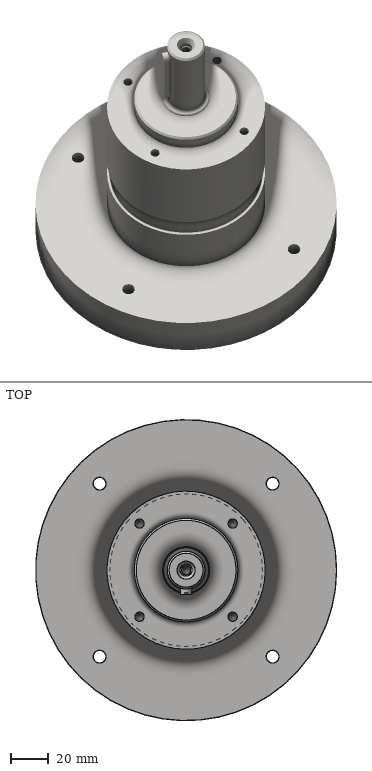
import cadquery as cq
import math


flange_diameter = 160.0
flange_thickness = 23.6
flange_hole_diameter = 6.65
flange_hole_circle = 130.0

housing_diameter = 84.0
housing_length = 84.7
groove_diameter = 81.0
groove_width = 11.1
groove_offset = 27.5
face_hole_diameter = 4.92
face_hole_circle = 70.0
face_hole_depth = 12.0

pilot_diameter = 55.0
pilot_height = 8.0
pilot_chamfer = 1.0
collar_diameter = 25.0
collar_height = 1.0
collar_chamfer = 0.5

shaft_diameter = 20.0
shaft_length = 45.0
shaft_chamfer = 1.0
shaft_root_fillet = 1.5

key_width = 6.0
key_length = 36.0
key_end_gap = 4.0
key_outer_radius = 13.0
key_bottom_radius = 7.0

centre_mouth_diameter = 9.6
centre_cone_angle = 60.0
centre_relief_diameter = 6.4
centre_relief_depth = 5.0
centre_core_diameter = 4.92
centre_core_depth = 22.0

drill_point_angle = 118.0
holes_per_circle = 4
first_hole_angle = 45.0

housing_top = flange_thickness + housing_length
groove_bottom = flange_thickness + groove_offset
groove_top = groove_bottom + groove_width
pilot_top = housing_top + pilot_height
collar_top = pilot_top + collar_height
shaft_top = collar_top + shaft_length


def cone_height(radius_change, included_angle):
    """Axial length of a cone over which the radius changes by radius_change."""
    return radius_change / math.tan(math.radians(included_angle / 2))


def revolve_about_z(profile):
    """Full turn of an XZ half profile about the Z axis."""
    return profile.close().revolve(360, (0, 0, 0), (0, 1, 0))


def turned_body():
    """Flange, grooved housing, pilot, collar and shaft as one turned profile."""
    flange_radius = flange_diameter / 2
    housing_radius = housing_diameter / 2
    groove_radius = groove_diameter / 2
    pilot_radius = pilot_diameter / 2
    collar_radius = collar_diameter / 2
    shaft_radius = shaft_diameter / 2
    fillet_top = collar_top + shaft_root_fillet
    fillet_radius_out = shaft_radius + shaft_root_fillet
    fillet_mid = shaft_root_fillet * (1 - math.sqrt(0.5))

    profile = (
        cq.Workplane("XZ")
        .moveTo(0, 0)
        .lineTo(flange_radius, 0)
        .lineTo(flange_radius, flange_thickness)
        .lineTo(housing_radius, flange_thickness)
        .lineTo(housing_radius, groove_bottom)
        .lineTo(groove_radius, groove_bottom)
        .lineTo(groove_radius, groove_top)
        .lineTo(housing_radius, groove_top)
        .lineTo(housing_radius, housing_top)
        .lineTo(pilot_radius, housing_top)
        .lineTo(pilot_radius, pilot_top - pilot_chamfer)
        .lineTo(pilot_radius - pilot_chamfer, pilot_top)
        .lineTo(collar_radius, pilot_top)
        .lineTo(collar_radius, collar_top - collar_chamfer)
        .lineTo(collar_radius - collar_chamfer, collar_top)
        .lineTo(fillet_radius_out, collar_top)
        .threePointArc(
            (shaft_radius + fillet_mid, collar_top + fillet_mid),
            (shaft_radius, fillet_top),
        )
        .lineTo(shaft_radius, shaft_top - shaft_chamfer)
        .lineTo(shaft_radius - shaft_chamfer, shaft_top)
        .lineTo(0, shaft_top)
    )
    return revolve_about_z(profile)


def shaft_key():
    """Round-ended key standing out of the shaft on its -Y side."""
    key_centre_height = shaft_top - key_end_gap - key_length / 2
    return (
        cq.Workplane("XZ", origin=(0, -key_bottom_radius, key_centre_height))
        .slot2D(key_length, key_width, angle=90)
        .extrude(key_outer_radius - key_bottom_radius)
    )


def centre_hole():
    """Stepped centre hole: conical mouth, plain relief, core with a drill point."""
    mouth_radius = centre_mouth_diameter / 2
    relief_radius = centre_relief_diameter / 2
    core_radius = centre_core_diameter / 2
    mouth_depth = cone_height(mouth_radius - relief_radius, centre_cone_angle)
    core_bottom = shaft_top - centre_core_depth

    profile = (
        cq.Workplane("XZ")
        .moveTo(0, shaft_top)
        .lineTo(mouth_radius, shaft_top)
        .lineTo(relief_radius, shaft_top - mouth_depth)
        .lineTo(relief_radius, shaft_top - centre_relief_depth)
        .lineTo(core_radius, shaft_top - centre_relief_depth)
        .lineTo(core_radius, core_bottom)
        .lineTo(0, core_bottom - cone_height(core_radius, drill_point_angle))
    )
    return revolve_about_z(profile)


def face_hole():
    """Blind drilled hole on the Z axis, open at the housing's top face."""
    radius = face_hole_diameter / 2
    bottom = housing_top - face_hole_depth

    profile = (
        cq.Workplane("XZ")
        .moveTo(0, housing_top)
        .lineTo(radius, housing_top)
        .lineTo(radius, bottom)
        .lineTo(0, bottom - cone_height(radius, drill_point_angle))
    )
    return revolve_about_z(profile)


def flange_hole():
    """Hole on the Z axis through the full flange thickness."""
    return cq.Workplane("XY").circle(flange_hole_diameter / 2).extrude(flange_thickness)


def cut_hole_circle(body, hole, circle_diameter):
    """Cut copies of a hole, equally spaced on a circle about Z."""
    for index in range(holes_per_circle):
        angle = first_hole_angle + index * 360 / holes_per_circle
        placed_hole = hole.translate((circle_diameter / 2, 0, 0)).rotate((0, 0, 0), (0, 0, 1), angle)
        body = body.cut(placed_hole)
    return body


result = turned_body().union(shaft_key()).cut(centre_hole())
result = cut_hole_circle(result, face_hole(), face_hole_circle)
result = cut_hole_circle(result, flange_hole(), flange_hole_circle)